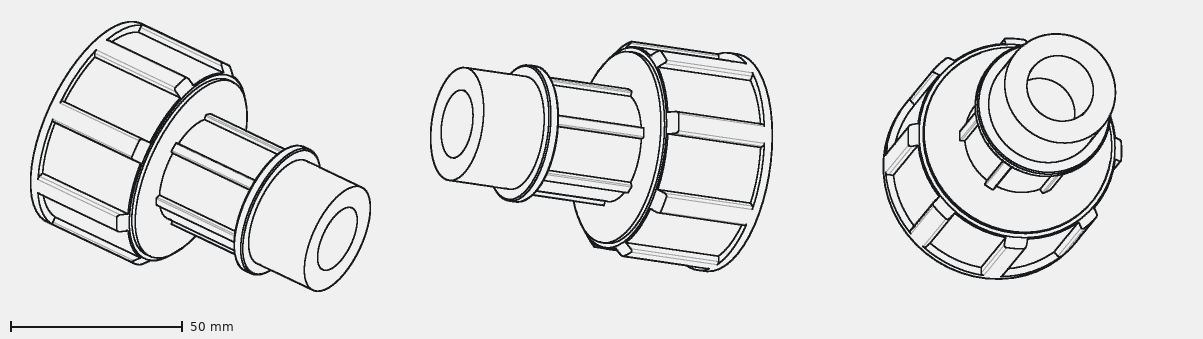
import cadquery as cq

total_length = 87.0
nut_length = 33.5
nut_rim_length = 2.6
nut_chamfer = 2.6
hub_end = 34.7
collar_start = 63.95
collar_width = 3.1
collar_chamfer = 0.4

nut_diameter = 64.0
nut_floor_diameter = 59.5
hub_diameter = 56.3
neck_diameter = 32.0
collar_diameter = 40.0
tail_diameter = 33.2

counterbore_diameter = 51.2
counterbore_depth = 1.3
cavity_diameter = 48.0
cavity_depth = 19.6

passage_entry_diameter = 26.6
passage_exit_diameter = 19.9
taper_length = 3.05
taper_end = collar_start
taper_start = taper_end - taper_length

grip_rib_count = 8
grip_rib_width = 6.6
grip_rib_round = 0.8

neck_rib_count = 6
neck_rib_width = 3.05
neck_rib_diameter = 35.0
neck_rib_round = 0.35


def disc(start, end, diameter):
    """Solid cylinder along X between two stations."""
    return cq.Workplane("YZ", origin=(start, 0, 0)).circle(diameter / 2).extrude(end - start)


def rib_ring(start, end, diameter, width, count, edge_round):
    """Evenly spaced ribs along X, reaching in to the axis, the first one pointing along +Y."""
    bar = cq.Workplane("YZ", origin=(start, 0, 0)).rect(2 * diameter, width).extrude(end - start)
    bar = bar.intersect(disc(start, end, diameter)).edges("|X").fillet(edge_round)
    ring = bar
    for index in range(1, count // 2):
        ring = ring.union(bar.rotate((0, 0, 0), (1, 0, 0), index * 360 / count))
    return ring


def make_nut():
    blank = disc(0, nut_length, nut_diameter).faces(">X").chamfer(nut_chamfer)
    ribs = rib_ring(nut_rim_length, nut_length, nut_diameter, grip_rib_width, grip_rib_count, grip_rib_round)
    floor = disc(nut_rim_length, nut_length, nut_floor_diameter)
    recesses = disc(nut_rim_length, nut_length, nut_diameter).cut(floor).cut(ribs)
    body = blank.cut(recesses).union(disc(0, hub_end, hub_diameter))
    counterbore = disc(0, counterbore_depth, counterbore_diameter)
    return body.cut(counterbore).cut(disc(0, cavity_depth, cavity_diameter))


def make_tube():
    collar_end = collar_start + collar_width
    collar = disc(collar_start, collar_end, collar_diameter).faces("<X or >X").chamfer(collar_chamfer)
    ribs = rib_ring(hub_end, collar_start, neck_rib_diameter, neck_rib_width, neck_rib_count, neck_rib_round)
    neck = disc(0, collar_end, neck_diameter)
    tail = disc(collar_end, total_length, tail_diameter)
    return neck.union(ribs).union(collar).union(tail)


def make_passage():
    outline = [
        (0, 0),
        (0, passage_entry_diameter / 2),
        (taper_start, passage_entry_diameter / 2),
        (taper_end, passage_exit_diameter / 2),
        (total_length, passage_exit_diameter / 2),
        (total_length, 0),
    ]
    return cq.Workplane("XY").polyline(outline).close().revolve(360, (0, 0, 0), (1, 0, 0))


result = make_nut().union(make_tube()).cut(make_passage())